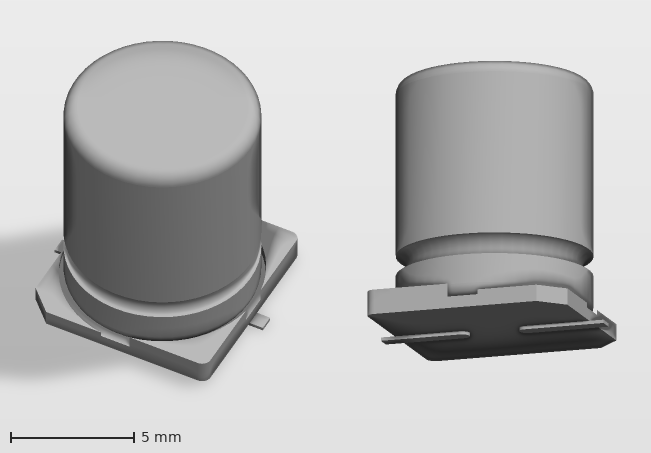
import cadquery as cq

overall_height = 10.51

base_width = 8.3
base_corner_chamfer = 1.0
base_corner_radius = 0.38
base_low_top = 0.82
base_high_top = 1.16
seat_floor = 0.62
seat_radius = 4.2

lead_span = 9.5
lead_width = 0.65
lead_thickness = 0.14
lead_gap = 2.14

can_radius = 4.01
can_rim_radius = 0.55
groove_height = 2.8
groove_radius = 0.43


def make_base():
    """Plate with two chamfered -X corners, a raised +X half and a round seat for the can."""
    plate = (
        cq.Workplane("XY", origin=(0, 0, lead_thickness))
        .rect(base_width, base_width)
        .extrude(base_high_top - lead_thickness)
        .edges("|Z and <X")
        .chamfer(base_corner_chamfer)
        .edges("|Z and >X")
        .fillet(base_corner_radius)
    )
    space_above_low_half = (
        cq.Workplane("XY", origin=(-base_width / 2, 0, base_low_top))
        .rect(base_width, base_width)
        .extrude(base_high_top)
    )
    seat = cq.Workplane("XY", origin=(0, 0, seat_floor)).circle(seat_radius).extrude(base_high_top)
    return plate.cut(space_above_low_half).cut(seat)


def make_can():
    """Cylindrical can with rounded rims and a crimp groove of semicircular section."""
    can = (
        cq.Workplane("XY", origin=(0, 0, seat_floor))
        .circle(can_radius)
        .extrude(overall_height - seat_floor)
        .edges("%CIRCLE")
        .fillet(can_rim_radius)
    )
    groove = cq.Workplane("XY").add(
        cq.Solid.makeTorus(can_radius, groove_radius, cq.Vector(0, 0, groove_height), cq.Vector(0, 0, 1))
    )
    return can.cut(groove)


def make_lead(side):
    """Flat lead under the base with a rounded inner end; side is -1 for -X and +1 for +X."""
    outer_x = side * lead_span / 2
    inner_tip_x = side * lead_gap / 2
    half_width = lead_width / 2
    round_start_x = inner_tip_x + side * half_width
    return (
        cq.Workplane("XY")
        .moveTo(outer_x, -half_width)
        .lineTo(round_start_x, -half_width)
        .threePointArc((inner_tip_x, 0), (round_start_x, half_width))
        .lineTo(outer_x, half_width)
        .close()
        .extrude(lead_thickness)
    )


result = make_base().union(make_can())
for lead_side in (-1, 1):
    result = result.union(make_lead(lead_side))